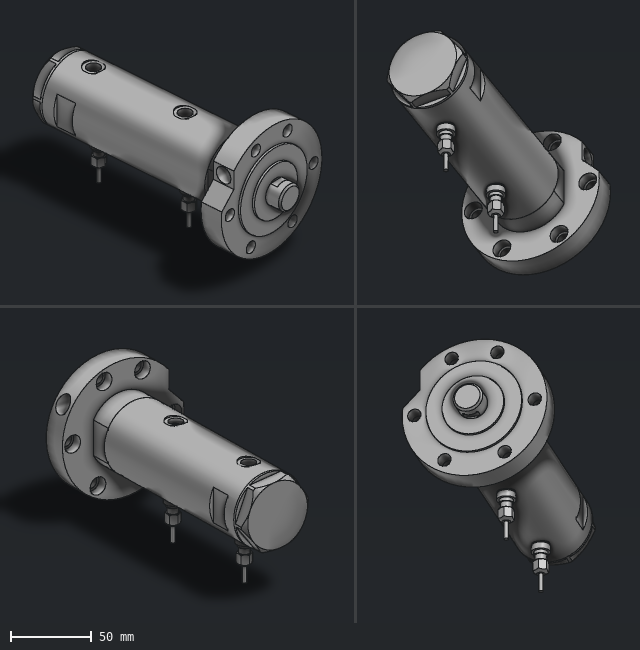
import cadquery as cq
import math


hex_end = 9.0
collar_end = 10.7
plug_end = 34.5
gland_start = 109.8
barrel_end = 146.0
flange_start = 161.5
flange_end = 178.5
spigot_end = 180.2
gland_end = 182.0
rod_flat_end = 187.6
rod_end = 194.0

barrel_diameter = 52.0
barrel_radius = barrel_diameter / 2
bore_diameter = 33.4
gland_diameter = 43.5
gland_nose_diameter = 40.0
wrench_width = 46.0

cap_turn = 7.4

pocket_start = 20.5
pocket_end = 35.9
port_positions = (30.3, 106.5)
port_diameter = 9.9
port_seat_diameter = 14.7
port_seat_depth = 1.0

flange_diameter = 94.0
flange_radius = flange_diameter / 2
spigot_diameter = 62.0
bolt_circle_radius = 39.0
upper_bolt_angle = 67.7
bolt_angles = (0, upper_bolt_angle, 180 - upper_bolt_angle, 180, 240, 300)
bolt_hole_diameter = 8.5
bolt_head_diameter = 12.0
bolt_head_depth = 7.2
notch_wall_y = -35.3
notch_foot_z = 17.3
cross_hole_diameter = 12.0

rod_diameter = 19.2
rod_chamfer = 1.4
rod_flat_width = 16.3

sensor_positions = (34.7, 109.6)
overall_height = 105.4
sensor_tip_z = flange_radius - overall_height
sensor_base_radius = 6.0
sensor_base_top_radius = 5.6
sensor_base_rim_z = -27.0
sensor_base_end_z = -31.2
sensor_step_radius = 4.5
sensor_step_end_z = -33.5
sensor_neck_radius = 3.7
nut_width = 9.1
nut_top_z = -37.8
nut_bottom_z = -46.4
nut_tip_radius = 2.7
nut_chamfer_height = 2.0
nut_top_chamfer = 0.5
cable_radius = 1.45


def rod_along_x(diameter, start, end):
    """Plain cylinder on the main axis between two X stations."""
    return cq.Workplane("YZ", origin=(start, 0, 0)).circle(diameter / 2).extrude(end - start)


def slab_along_x(width_y, width_z, start, end):
    """Box centred on the main axis between two X stations."""
    return cq.Workplane("YZ", origin=(start, 0, 0)).rect(width_y, width_z).extrude(end - start)


def hexagon_diameter(across_flats):
    return across_flats / math.cos(math.pi / 6)


def make_cap():
    """Hexagonal end cap with rounded corners, a round collar and a plug in the bore."""
    hexagon = cq.Workplane("YZ").polygon(6, hexagon_diameter(wrench_width)).extrude(hex_end)
    hexagon = hexagon.rotate((0, 0, 0), (1, 0, 0), -cap_turn)
    corner_chamfer = (barrel_diameter - wrench_width) / 2
    envelope = rod_along_x(barrel_diameter, 0, hex_end).faces("<X").chamfer(corner_chamfer)
    collar = rod_along_x(barrel_diameter, hex_end, collar_end)
    plug = rod_along_x(bore_diameter, collar_end, plug_end)
    return hexagon.intersect(envelope).union(collar).union(plug)


def make_barrel():
    """Tube with two wrench pockets on its sides and two ports on top."""
    barrel = rod_along_x(barrel_diameter, collar_end, barrel_end)
    pocket_ring = slab_along_x(barrel_diameter, barrel_diameter, pocket_start, pocket_end)
    pocket_core = slab_along_x(wrench_width, barrel_diameter, pocket_start, pocket_end)
    barrel = barrel.cut(pocket_ring.cut(pocket_core))
    barrel = barrel.cut(rod_along_x(bore_diameter, collar_end, gland_start))
    barrel = barrel.cut(rod_along_x(gland_diameter, gland_start, barrel_end))
    for x in port_positions:
        port = cq.Workplane("XY", origin=(x, 0, 0)).circle(port_diameter / 2).extrude(barrel_radius)
        seat = (
            cq.Workplane("XY", origin=(x, 0, barrel_radius - port_seat_depth))
            .circle(port_seat_diameter / 2)
            .extrude(port_seat_depth)
        )
        barrel = barrel.cut(port).cut(seat)
    return barrel


def make_notch():
    """Corner removed from the flange rim: an upright wall over a 45 degree slope."""
    run = flange_radius + notch_wall_y
    return (
        cq.Workplane("YZ", origin=(flange_start, 0, 0))
        .moveTo(notch_wall_y, flange_radius)
        .lineTo(notch_wall_y, notch_foot_z)
        .lineTo(notch_wall_y - run, notch_foot_z - run)
        .lineTo(notch_wall_y - run, flange_radius)
        .close()
        .extrude(flange_end - flange_start)
    )


def make_head():
    """Flatted neck, notched mounting flange and locating spigot."""
    neck = rod_along_x(barrel_diameter, barrel_end, flange_start)
    neck = neck.intersect(slab_along_x(wrench_width, barrel_diameter, barrel_end, flange_start))
    flange = rod_along_x(flange_diameter, flange_start, flange_end).cut(make_notch())
    spigot = rod_along_x(spigot_diameter, flange_end, spigot_end)
    head = neck.union(flange).union(spigot)
    head = head.cut(rod_along_x(gland_nose_diameter, barrel_end, spigot_end))

    for angle in bolt_angles:
        y = bolt_circle_radius * math.cos(math.radians(angle))
        z = bolt_circle_radius * math.sin(math.radians(angle))
        centre = (0, y, z)
        bolt_hole = rod_along_x(bolt_hole_diameter, flange_start, flange_end)
        bolt_head = rod_along_x(bolt_head_diameter, flange_start, flange_start + bolt_head_depth)
        head = head.cut(bolt_hole.union(bolt_head).translate(centre))

    notch_top_z = math.sqrt(flange_radius**2 - notch_wall_y**2)
    cross_x = (flange_start + flange_end) / 2
    cross_z = (notch_foot_z + notch_top_z) / 2
    cross_hole = (
        cq.Workplane("XZ", origin=(cross_x, 0, cross_z))
        .circle(cross_hole_diameter / 2)
        .extrude(flange_radius, both=True)
    )
    return head.cut(cross_hole)


def make_gland():
    """Long bush that guides the rod, wider inside the barrel than in the head."""
    wide_part = rod_along_x(gland_diameter, gland_start, barrel_end)
    nose = rod_along_x(gland_nose_diameter, barrel_end, gland_end)
    gland = wide_part.union(nose)
    return gland.cut(rod_along_x(rod_diameter, gland_start, gland_end))


def make_rod():
    """Piston rod with a chamfered tip and two wrench flats behind it."""
    rod = rod_along_x(rod_diameter, plug_end, rod_end).faces(">X").chamfer(rod_chamfer)
    flat_ring = slab_along_x(rod_diameter, rod_diameter, gland_end, rod_flat_end)
    flat_core = slab_along_x(rod_diameter, rod_flat_width, gland_end, rod_flat_end)
    return rod.cut(flat_ring.cut(flat_core))


def make_sensor(x):
    """Position sensor hanging below the barrel: stepped base, hexagon nut and cable."""
    turned = (
        cq.Workplane("XZ")
        .moveTo(0, 0)
        .lineTo(sensor_base_top_radius, 0)
        .lineTo(sensor_base_top_radius, -barrel_radius)
        .lineTo(sensor_base_radius, sensor_base_rim_z)
        .lineTo(sensor_base_radius, sensor_base_end_z)
        .lineTo(sensor_step_radius, sensor_base_end_z)
        .lineTo(sensor_step_radius, sensor_step_end_z)
        .lineTo(sensor_neck_radius, sensor_step_end_z)
        .lineTo(sensor_neck_radius, nut_top_z)
        .lineTo(cable_radius, nut_top_z)
        .lineTo(cable_radius, sensor_tip_z)
        .lineTo(0, sensor_tip_z)
        .close()
        .revolve(360, (0, 0), (0, 1))
    )
    corner_radius = hexagon_diameter(nut_width) / 2
    nut = (
        cq.Workplane("XY", origin=(0, 0, nut_bottom_z))
        .polygon(6, 2 * corner_radius)
        .extrude(nut_top_z - nut_bottom_z)
    )
    nut_envelope = (
        cq.Workplane("XZ")
        .moveTo(0, nut_top_z)
        .lineTo(corner_radius - nut_top_chamfer, nut_top_z)
        .lineTo(corner_radius, nut_top_z - nut_top_chamfer)
        .lineTo(corner_radius, nut_bottom_z + nut_chamfer_height)
        .lineTo(nut_tip_radius, nut_bottom_z)
        .lineTo(0, nut_bottom_z)
        .close()
        .revolve(360, (0, 0), (0, 1))
    )
    sensor = turned.union(nut.intersect(nut_envelope)).translate((x, 0, 0))
    return sensor.cut(rod_along_x(barrel_diameter, collar_end, barrel_end))


cap = make_cap()
barrel = make_barrel()
head = make_head()
gland = make_gland()
rod = make_rod()
sensors = [make_sensor(x) for x in sensor_positions]

result = cq.Compound.makeCompound(
    [cap.val(), barrel.val(), head.val(), gland.val(), rod.val()]
    + [sensor.val() for sensor in sensors]
)